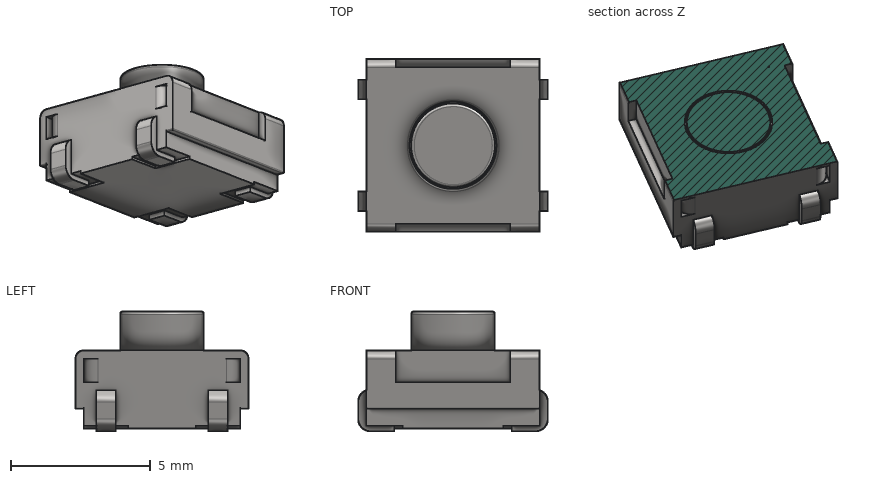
import cadquery as cq


case_size = 6.2
sheet = 0.3
fold_radius = sheet
cover_top = 2.905
cover_bottom = 0.8
rim_round = 0.05
base_width = case_size - 2 * sheet
base_bottom = 0.1
base_top = 1.77
cover_underside = cover_top - sheet

block_corner_radius = 0.5

window_width = 4.1
window_sill = 1.29

button_diameter = 3.0
button_top = 4.3
button_round = 0.1
hole_diameter = 3.12
hole_lip_round = 0.08

terminal_reach = 3.4
terminal_width = 0.7
terminal_spacing = 4.0
terminal_height = 1.5
terminal_bend_radius = 0.45
foot_inner_x = 2.1
foot_thickness = 0.2

recess_inner_x = 1.8
recess_inner_y = 1.205

SIDES = (-1, 1)


def block(x_size, y_size, z_low, z_high):
    """Box centred on the Z axis between two heights."""
    return (
        cq.Workplane("XY")
        .workplane(offset=z_low)
        .rect(x_size, y_size)
        .extrude(z_high - z_low)
    )


def span_box(x_inner, x_outer, y_inner, y_outer, z_low, z_high):
    """Box between two opposite corners."""
    return cq.Workplane("XY").box(
        x_outer - x_inner, y_outer - y_inner, z_high - z_low, centered=False
    ).translate((x_inner, y_inner, z_low))


def make_base():
    base = block(case_size, base_width, base_bottom, base_top)
    recess = span_box(
        recess_inner_x, case_size / 2, recess_inner_y, base_width / 2, base_bottom, foot_thickness
    )
    for pocket in (recess, recess.mirror("YZ")):
        base = base.cut(pocket).cut(pocket.mirror("XZ"))
    lugs = block(window_width, case_size, window_sill, base_top)
    upper_block = block(case_size, base_width, base_top, cover_underside)
    upper_block = upper_block.edges("|Z").fillet(block_corner_radius)
    return base.union(lugs).union(upper_block)


def make_cover():
    cover = block(case_size, case_size, cover_bottom, cover_top)
    cover = cover.edges("|X and >Z").fillet(fold_radius)
    cover = cover.faces("<Z").edges().fillet(rim_round)
    cover = cover.cut(block(case_size, base_width, cover_bottom, cover_underside))

    window = span_box(
        -window_width / 2, window_width / 2, base_width / 2, case_size / 2, window_sill, cover_top
    )
    cover = cover.cut(window).cut(window.mirror("XZ"))

    hole = cq.Workplane("XY").workplane(offset=cover_underside).circle(hole_diameter / 2).extrude(sheet)
    cover = cover.cut(hole)
    hole_lip = cover.faces(">Z").edges("%CIRCLE")
    return hole_lip.fillet(hole_lip_round)


def make_button():
    button = (
        cq.Workplane("XY")
        .workplane(offset=cover_underside)
        .circle(button_diameter / 2)
        .extrude(button_top - cover_underside)
    )
    return button.faces(">Z").edges().fillet(button_round)


def make_terminal(side_y):
    """Terminal on the +X side: an upright strip with a foot bent inwards under the base."""
    y_low = side_y * terminal_spacing / 2 - terminal_width / 2
    y_high = y_low + terminal_width
    strip_inner_x = terminal_reach - 2 * terminal_bend_radius
    strip = span_box(strip_inner_x, terminal_reach, y_low, y_high, 0, terminal_height)
    strip = strip.edges("|Y and >X").fillet(terminal_bend_radius)
    strip = strip.cut(
        span_box(strip_inner_x, case_size / 2, y_low, y_high, foot_thickness, terminal_height)
    )
    foot = span_box(foot_inner_x, strip_inner_x + terminal_bend_radius, y_low, y_high, 0, foot_thickness)
    return strip.union(foot)


result = make_base().union(make_cover()).union(make_button())
for side in SIDES:
    terminal = make_terminal(side)
    result = result.union(terminal).union(terminal.mirror("YZ"))